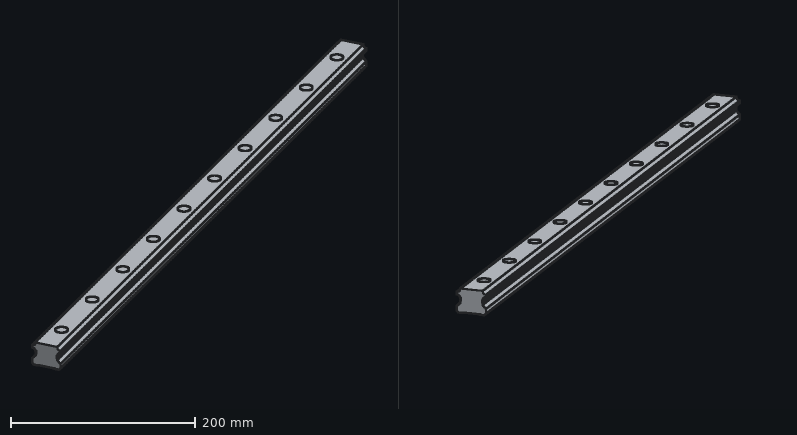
import cadquery as cq
import math

LENGTH = 800.0
WIDTH = 34.0
HEIGHT = 27.5

FOOT_HEIGHT = 7.5
FOOT_BREAK_HEIGHT = 1.5
BASE_CHAMFER_WIDTH = 2.2
BASE_CHAMFER_HEIGHT = 2.0
RELIEF_WIDTH = 20.0
RELIEF_DEPTH = 0.5
RELIEF_TAPER = 0.5

NECK_WIDTH = 26.0
NOTCH_HEIGHT = 2.5
NOTCH_DEPTH = 0.8

LIP_BOTTOM = 20.5
LIP_BREAK_HEIGHT = 1.5
LIP_TOP = 23.5
TOP_WIDTH = 26.5
TOP_STEP = 1.2

EDGE_BREAK = 0.1

HOLE_COUNT = 10
HOLE_PITCH = LENGTH / HOLE_COUNT
HOLE_DIAMETER = 14.0
HOLE_DEPTH = 0.5

half_width = WIDTH / 2
half_bevel = half_width - EDGE_BREAK
half_neck = NECK_WIDTH / 2
half_top = TOP_WIDTH / 2
half_relief = RELIEF_WIDTH / 2
neck_inset = half_width - half_neck
neck_bottom = FOOT_HEIGHT + neck_inset
neck_top = LIP_BOTTOM - neck_inset
notch_bottom = neck_top - NOTCH_HEIGHT
groove_top = HEIGHT - TOP_STEP


def groove_midpoint(center, corner):
    """Point halfway along a hollow groove that bulges from center toward corner."""
    reach = math.sin(math.pi / 4)
    x = center[0] + (corner[0] - center[0]) * reach
    z = center[1] + (corner[1] - center[1]) * reach
    return (x, z)


def make_rail():
    """Extrude half of the profile along Y and mirror it about the YZ plane."""
    lower_mid = groove_midpoint((half_bevel, neck_top), (half_neck, LIP_BOTTOM))
    upper_mid = groove_midpoint((half_width, groove_top), (half_top, LIP_TOP))
    half_profile = (
        cq.Workplane("XZ")
        .moveTo(0, RELIEF_DEPTH)
        .lineTo(half_relief - RELIEF_TAPER, RELIEF_DEPTH)
        .lineTo(half_relief, 0)
        .lineTo(half_width - BASE_CHAMFER_WIDTH, 0)
        .lineTo(half_width, BASE_CHAMFER_HEIGHT)
        .lineTo(half_width, FOOT_HEIGHT - FOOT_BREAK_HEIGHT)
        .lineTo(half_bevel, FOOT_HEIGHT)
        .lineTo(half_neck, neck_bottom)
        .lineTo(half_neck, notch_bottom)
        .lineTo(half_neck - NOTCH_DEPTH, notch_bottom)
        .lineTo(half_neck - NOTCH_DEPTH, neck_top)
        .lineTo(half_neck, neck_top)
        .threePointArc(lower_mid, (half_bevel, LIP_BOTTOM))
        .lineTo(half_width, LIP_BOTTOM + LIP_BREAK_HEIGHT)
        .lineTo(half_width, LIP_TOP)
        .threePointArc(upper_mid, (half_top, groove_top))
        .lineTo(half_top, HEIGHT)
        .lineTo(0, HEIGHT)
        .close()
    )
    half_rail = half_profile.extrude(LENGTH / 2, both=True)
    return half_rail.union(half_rail.mirror("YZ")).clean()


def make_hole_recesses():
    """Discs that sink one round recess per pitch into the top face."""
    return (
        cq.Workplane("XY")
        .workplane(offset=HEIGHT - HOLE_DEPTH)
        .rarray(1, HOLE_PITCH, 1, HOLE_COUNT)
        .circle(HOLE_DIAMETER / 2)
        .extrude(HOLE_DEPTH)
    )


result = make_rail().cut(make_hole_recesses())